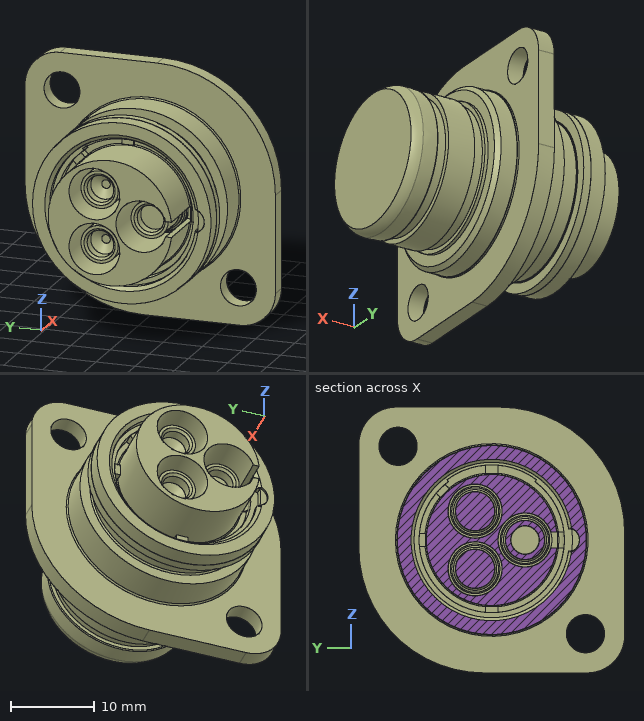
import cadquery as cq
import math


flange_size = 32.0
flange_start = 14.27
flange_end = 16.5
ear_radius = 4.5
wide_corner_radius = 15.07
screw_offset = 11.25
screw_hole_radius = 2.27

overall_length = 30.0
ring_start = 4.15
ring_band_end = 6.18
groove_start = 7.23
groove_end = 10.0
groove_step = 0.13
groove_chamfer = 0.2
collar_start = 14.05
collar_end = 16.75
shoulder_chamfer_start = 19.0
shoulder_end = 19.6
stop_end = 20.03
neck_end = 21.45
band_end = 25.15
tail_start = 26.55
tail_edge = 0.13
tail_crown = 28.0
tail_nose_start = 28.75
tail_nose_middle = 29.45

ring_radius = 11.4
main_radius = 11.42
groove_radius = 9.95
collar_radius = 11.6
shoulder_radius = 11.5
shoulder_end_radius = 10.9
stop_radius = 9.47
neck_radius = 8.9
band_radius = 9.4
relief_radius = 8.75
tail_start_radius = 9.38
tail_radius = 9.47
tail_nose_radius = 9.4
tail_nose_middle_radius = 9.12
tail_end_radius = 8.67

mouth_radius = 9.82
throat_radius = 9.35
mouth_bevel_depth = 0.4
ledge_x = 5.25
socket_radius = 8.75
socket_floor_x = 6.6

recess_radius = 9.02
recess_half_angle = 36.5

key_width = 1.5
key_inner_radius = 7.97
key_angles = (0, 45, 270)
top_key_angle = 90
key_front_x = 5.38
top_key_front_x = 6.35

notch_radius = 1.5
notch_center_y = -9.02
notch_depth = 0.25
keyway_half_width = 1.35
keyway_radius = 9.7

insert_radius = 7.9
insert_foot_radius = 8.05
insert_foot_length = 0.13
contact_circle_radius = 4.0
contact_hole_radius = 3.23
contact_floor_x = 8.32
cone_tube_front_x = 1.85
plain_tube_front_x = 2.95
tube_radius = 2.37
flare_start_x = 7.05
flare_length = 0.32
flare_radius = 2.6
tube_shoulder_x = 7.68
tube_shoulder_start_radius = 2.8
tube_shoulder_radius = 2.98
tube_shoulder_length = 0.2
tube_mouth_radius = 2.0
tube_bore_radius = 1.7
tube_mouth_depth = 0.32
bore_cone_depth = 0.7
bore_tip_radius = 0.55
straight_bore_depth = 1.6
cone_contact_angles = (60, -60)
plain_contact_angle = 180

slot_width = 1.92
slot_end_x = 7.68


def disk(x, radius, length, y=0.0, z=0.0):
    """Cylinder along X that starts at x."""
    return cq.Workplane("YZ", origin=(x, y, z)).circle(radius).extrude(length)


def cone(x, start_radius, end_radius, length, y=0.0, z=0.0):
    """Truncated cone along X that starts at x."""
    solid = cq.Solid.makeCone(start_radius, end_radius, length, cq.Vector(x, y, z), cq.Vector(1, 0, 0))
    return cq.Workplane("XY").newObject([solid])


def bar(x_start, x_end, y_start, y_end, width):
    """Rectangular bar, centred on z = 0."""
    size = (x_end - x_start, y_end - y_start, width)
    return cq.Workplane("XY").box(*size, centered=(False, False, True)).translate((x_start, y_start, 0))


def make_shell():
    """Turned outer body, filled solid from the ring face to the rear end."""
    profile = (
        cq.Workplane("XY")
        .moveTo(ring_start, 0)
        .lineTo(ring_start, ring_radius)
        .lineTo(ring_band_end, ring_radius)
        .lineTo(ring_band_end, main_radius)
        .lineTo(groove_start, main_radius)
        .lineTo(groove_start, groove_radius + groove_step)
        .lineTo(groove_start + groove_step, groove_radius + groove_step)
        .lineTo(groove_start + groove_step, groove_radius)
        .lineTo(groove_end - groove_chamfer, groove_radius)
        .lineTo(groove_end, groove_radius + groove_chamfer)
        .lineTo(groove_end, main_radius)
        .lineTo(collar_start, main_radius)
        .lineTo(flange_start, collar_radius)
        .lineTo(collar_end, collar_radius)
        .lineTo(collar_end, shoulder_radius)
        .lineTo(shoulder_chamfer_start, shoulder_radius)
        .lineTo(shoulder_end, shoulder_end_radius)
        .lineTo(shoulder_end, stop_radius)
        .lineTo(stop_end, stop_radius)
        .lineTo(stop_end, neck_radius)
        .lineTo(neck_end, neck_radius)
        .lineTo(neck_end, band_radius)
        .lineTo(band_end, band_radius)
        .lineTo(band_end, relief_radius)
        .lineTo(tail_start, relief_radius)
        .lineTo(tail_start, tail_start_radius - tail_edge)
        .lineTo(tail_start + tail_edge, tail_start_radius)
        .threePointArc((tail_crown, tail_radius), (tail_nose_start, tail_nose_radius))
        .threePointArc((tail_nose_middle, tail_nose_middle_radius), (overall_length, tail_end_radius))
        .lineTo(overall_length, 0)
        .close()
    )
    return profile.revolve(360, (0, 0, 0), (1, 0, 0))


def make_flange():
    """Square plate with two tight screw ears and two wide corners."""
    thickness = flange_end - flange_start
    half = flange_size / 2
    plate = cq.Workplane("YZ", origin=(flange_start, 0, 0)).rect(flange_size, flange_size).extrude(thickness)
    for side in (1, -1):
        ear = cq.NearestToPointSelector((flange_start, side * half, side * half))
        plate = plate.edges("|X").edges(ear).fillet(ear_radius)
        wide_corner = cq.NearestToPointSelector((flange_start, -side * half, side * half))
        plate = plate.edges("|X").edges(wide_corner).fillet(wide_corner_radius)
    for side in (1, -1):
        offset = side * screw_offset
        plate = plate.cut(disk(flange_start, screw_hole_radius, thickness, offset, offset))
    return plate


def cut_socket(shell):
    """Bevelled mouth, ledge and deep bore that surround the insert."""
    shell = shell.cut(cone(ring_start, mouth_radius, throat_radius, mouth_bevel_depth))
    shell = shell.cut(disk(ring_start, throat_radius, ledge_x - ring_start))
    shell = shell.cut(disk(ring_start, socket_radius, socket_floor_x - ring_start))
    reach = 2 * recess_radius
    half_angle = math.radians(recess_half_angle)
    spread = reach * math.tan(half_angle)
    wedge = (
        cq.Workplane("YZ", origin=(ledge_x, 0, 0))
        .polyline([(0, 0), (spread, reach), (-spread, reach)])
        .close()
        .extrude(socket_floor_x - ledge_x)
    )
    return shell.cut(wedge.intersect(disk(ledge_x, recess_radius, socket_floor_x - ledge_x)))


def cut_index_notch(shell):
    """Round notch in the rim and the keyway below it."""
    shell = shell.cut(disk(ring_start, notch_radius, notch_depth, notch_center_y))
    keyway = bar(ring_start, ledge_x, -keyway_radius, -insert_radius, 2 * keyway_half_width)
    return shell.cut(keyway.intersect(disk(ring_start, keyway_radius, ledge_x - ring_start)))


def make_key(angle, front_x):
    """Key on the socket wall; the angle turns from +Y towards +Z."""
    key = bar(front_x, socket_floor_x, key_inner_radius, recess_radius, key_width)
    return key.rotate((0, 0, 0), (1, 0, 0), angle)


def make_insert():
    """Cylinder with a slightly wider foot."""
    insert = disk(0, insert_radius, socket_floor_x)
    foot_x = socket_floor_x - insert_foot_length
    return insert.union(cone(foot_x, insert_radius, insert_foot_radius, insert_foot_length))


def cut_slot(body):
    """Slot from the -Y contact hole out through the side of the insert."""
    slot = bar(0, slot_end_x, -insert_foot_radius, -contact_circle_radius, slot_width)
    return body.cut(slot.intersect(disk(0, insert_foot_radius, slot_end_x)))


def make_slot_fillet():
    """Concave fillet between the socket floor and the socket wall, in line with the slot."""
    rise = socket_radius - insert_radius
    bend = rise * (1 - math.sqrt(0.5))
    wall_x = socket_floor_x - rise
    profile = (
        cq.Workplane("XY")
        .moveTo(socket_floor_x, -insert_radius)
        .threePointArc((socket_floor_x - bend, -socket_radius + bend), (wall_x, -socket_radius))
        .lineTo(socket_floor_x, -socket_radius)
        .close()
    )
    return profile.extrude(slot_width / 2, both=True)


def make_contact(front_x):
    """Contact tube on the X axis that flares in two steps towards the hole floor, with a straight bore."""
    profile = (
        cq.Workplane("XY")
        .moveTo(front_x, 0)
        .lineTo(front_x, tube_radius)
        .lineTo(flare_start_x, tube_radius)
        .lineTo(flare_start_x + flare_length, flare_radius)
        .lineTo(tube_shoulder_x, flare_radius)
        .lineTo(tube_shoulder_x, tube_shoulder_start_radius)
        .lineTo(tube_shoulder_x + tube_shoulder_length, tube_shoulder_radius)
        .lineTo(contact_floor_x, tube_shoulder_radius)
        .lineTo(contact_floor_x, 0)
        .close()
    )
    tube = profile.revolve(360, (0, 0, 0), (1, 0, 0))
    tube = tube.cut(cone(front_x, tube_mouth_radius, tube_bore_radius, tube_mouth_depth))
    return tube.cut(disk(front_x, tube_bore_radius, straight_bore_depth))


def make_cone_contact():
    """Contact whose bore ends in a cone with a small flat tip."""
    cone_x = cone_tube_front_x + straight_bore_depth
    tip = cone(cone_x, tube_bore_radius, bore_tip_radius, bore_cone_depth)
    return make_contact(cone_tube_front_x).cut(tip)


def add_contact(body, angle, contact):
    """Hole in the insert with a contact in it; the angle turns from +Y towards +Z."""
    y = contact_circle_radius * math.cos(math.radians(angle))
    z = contact_circle_radius * math.sin(math.radians(angle))
    body = body.cut(disk(0, contact_hole_radius, contact_floor_x, y, z))
    return body.union(contact.translate((0, y, z)))


body = cut_index_notch(cut_socket(make_shell().union(make_flange())))
for key_angle in key_angles:
    body = body.union(make_key(key_angle, key_front_x))
body = body.union(make_key(top_key_angle, top_key_front_x))

body = cut_slot(body.union(make_insert())).union(make_slot_fillet())
for contact_angle in cone_contact_angles:
    body = add_contact(body, contact_angle, make_cone_contact())
result = add_contact(body, plain_contact_angle, make_contact(plain_tube_front_x))